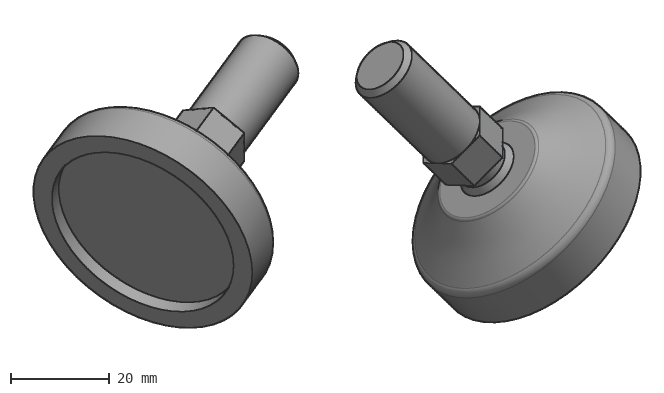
import cadquery as cq
import math


foot_radius = 50 / 2
rim_height = 9.0
shoulder_height = 10.5
shoulder_radius = 23.7
shoulder_bulge = 0.3
flank_top_height = 18.15
flank_top_radius = 12.5
flank_hollow = 0.3
foot_height = 18.5
foot_top_radius = 11.8
top_edge_bulge = 0.09

recess_diameter = 41.5
recess_depth = 3.0

neck_radius = 11 / 2
neck_start = 20.0
ball_radius = 7.5
hex_start = 23.0
hex_length = 8.0
hex_across_flats = 14.0
stud_radius = 14 / 2
overall_length = 56.0
tip_radius = 5.8
tip_chamfer_length = 1.25


def bowed_midpoint(start, end, sagitta):
    """Middle point of an arc bowed to the right of the direction start -> end."""
    dx = end[0] - start[0]
    dy = end[1] - start[1]
    chord = math.hypot(dx, dy)
    mid_x = (start[0] + end[0]) / 2
    mid_y = (start[1] + end[1]) / 2
    return (mid_x + sagitta * dy / chord, mid_y - sagitta * dx / chord)


def revolve_about_y(profile):
    return profile.close().revolve(360, (0, 0, 0), (0, 1, 0))


def make_foot():
    rim_top = (foot_radius, rim_height)
    shoulder_end = (shoulder_radius, shoulder_height)
    flank_end = (flank_top_radius, flank_top_height)
    top_edge = (foot_top_radius, foot_height)
    recess_radius = recess_diameter / 2
    profile = (
        cq.Workplane("XY")
        .moveTo(0, recess_depth)
        .lineTo(recess_radius, recess_depth)
        .lineTo(recess_radius, 0)
        .lineTo(foot_radius, 0)
        .lineTo(*rim_top)
        .threePointArc(bowed_midpoint(rim_top, shoulder_end, shoulder_bulge), shoulder_end)
        .threePointArc(bowed_midpoint(shoulder_end, flank_end, -flank_hollow), flank_end)
        .threePointArc(bowed_midpoint(flank_end, top_edge, top_edge_bulge), top_edge)
        .lineTo(0, foot_height)
    )
    return revolve_about_y(profile)


def make_stud():
    """Ball end, neck and round stud with a chamfered tip."""
    hex_end = hex_start + hex_length
    ball_center = neck_start - math.sqrt(ball_radius**2 - neck_radius**2)
    profile = (
        cq.Workplane("XY")
        .moveTo(0, ball_center)
        .lineTo(ball_radius, ball_center)
        .radiusArc((neck_radius, neck_start), -ball_radius)
        .lineTo(neck_radius, hex_end)
        .lineTo(stud_radius, hex_end)
        .lineTo(stud_radius, overall_length - tip_chamfer_length)
        .lineTo(tip_radius, overall_length)
        .lineTo(0, overall_length)
    )
    return revolve_about_y(profile)


def make_hex():
    """Spanner hexagon with its flats facing +X and -X and its corners on Z."""
    across_corners = hex_across_flats / math.cos(math.radians(30))
    return (
        cq.Workplane("XZ", origin=(0, hex_start, 0))
        .transformed(rotate=(0, 0, 90))
        .polygon(6, across_corners)
        .extrude(-hex_length)
    )


result = make_foot().union(make_stud()).union(make_hex())